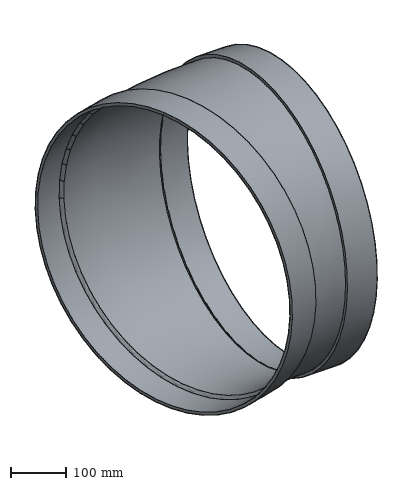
import cadquery as cq
import math

bend_angle = 15.0
bend_radius = 600.0
collar_length = 66.0
collar_diameter = 612.0
body_diameter = 600.0
body_bore = 588.0

collar_bore = body_diameter
lip_radius = (collar_bore - body_bore) / 2

angle = math.radians(bend_angle)
bend_start = (0, collar_length, 0)
bend_end = (
    bend_radius * (1 - math.cos(angle)),
    collar_length + bend_radius * math.sin(angle),
    0,
)
inlet_outward = (0, -1, 0)
outlet_outward = (math.sin(angle), math.cos(angle), 0)


def make_collar(seat, outward):
    """Straight socket reaching outward from its seat on the end of the bend."""
    radial = cq.Vector(0, 0, 1)
    plane = cq.Plane(origin=seat, xDir=radial, normal=radial.cross(cq.Vector(*outward)))
    lip_offset = lip_radius * math.sqrt(0.5)
    lip_middle = (collar_bore / 2 - lip_offset, lip_offset)
    return (
        cq.Workplane(plane)
        .moveTo(body_bore / 2, 0)
        .lineTo(collar_diameter / 2, 0)
        .lineTo(collar_diameter / 2, collar_length)
        .lineTo(collar_bore / 2, collar_length)
        .lineTo(collar_bore / 2, lip_radius)
        .threePointArc(lip_middle, (body_bore / 2, 0))
        .close()
        .revolve(360, (0, 0, 0), (0, 1, 0))
    )


def make_bend():
    """Curved tube between the two collars."""
    plane = cq.Plane(origin=bend_start, xDir=(1, 0, 0), normal=(0, 1, 0))
    return (
        cq.Workplane(plane)
        .circle(body_diameter / 2)
        .circle(body_bore / 2)
        .revolve(bend_angle, (bend_radius, 0, 0), (bend_radius, 1, 0))
    )


inlet_collar = make_collar(bend_start, inlet_outward)
outlet_collar = make_collar(bend_end, outlet_outward)

result = make_bend().union(inlet_collar).union(outlet_collar)